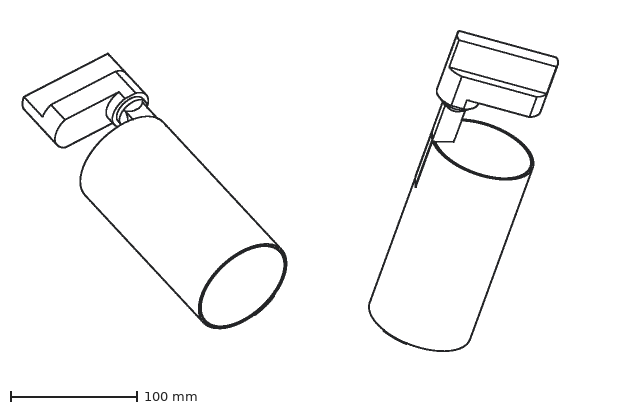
import cadquery as cq
import math

can_diameter = 85.0
can_radius = can_diameter / 2
wall_thickness = 1.5
liner_thickness = 0.8
can_front_x = 94.0
can_back_x = 259.0
dome_height = 7.8
liner_radius = can_radius - wall_thickness
core_radius = liner_radius - liner_thickness
can_length = can_back_x - can_front_x

overall_length = 259.7
overall_width = 93.5
tab_middle_angle = -60.0
tab_sweep = 30.0

blade_end_x = 26.0
plate_end_x = 45.5
boss_end_x = 54.0
boss_radius = 17.5
handle_half_height = 16.5
blade_height = 14.8
handle_length = 84.1
far_end_bulge = 9.5

near_end_y = overall_width - can_radius
bar_y = near_end_y - boss_radius
bar_side = 16.5
bar_end_x = 138.5
collar_radius = 13.2
collar_length = 8.5
collar_chamfer = 4.7


def x_cylinder(radius, start_x, end_x, center_y=0.0):
    plane = cq.Workplane("YZ", origin=(start_x, center_y, 0))
    return plane.circle(radius).extrude(end_x - start_x)


def make_handle():
    far_end_y = near_end_y - handle_length
    near_flat_y = bar_y + math.sqrt(boss_radius**2 - handle_half_height**2)
    far_flat_y = far_end_y + far_end_bulge
    plate = (
        cq.Workplane("YZ")
        .moveTo(far_flat_y, handle_half_height)
        .lineTo(near_flat_y, handle_half_height)
        .threePointArc((near_end_y, 0), (near_flat_y, -handle_half_height))
        .lineTo(far_flat_y, -handle_half_height)
        .threePointArc((far_end_y, 0), (far_flat_y, handle_half_height))
        .close()
        .extrude(plate_end_x)
    )
    cut_height = handle_half_height - blade_height / 2
    for side in (-1, 1):
        cut_z = side * (blade_height + cut_height) / 2
        step = cq.Workplane("XY").box(2 * blade_end_x, 3 * handle_length, cut_height)
        plate = plate.cut(step.translate((0, 0, cut_z)))
    boss = x_cylinder(boss_radius, blade_end_x, boss_end_x, bar_y)
    flats = cq.Workplane("XY").box(2 * overall_length, 2 * handle_length, 2 * handle_half_height)
    return plate.union(boss.intersect(flats))


def make_bar():
    plane = cq.Workplane("YZ", origin=(boss_end_x, bar_y, 0))
    return plane.rect(bar_side, bar_side).extrude(bar_end_x - boss_end_x)


def make_collar():
    collar = x_cylinder(collar_radius, boss_end_x, boss_end_x + collar_length, bar_y)
    return collar.faces(">X").chamfer(collar_chamfer).cut(make_bar())


def make_sleeve(outer_radius, thickness):
    plane = cq.Workplane("YZ", origin=(can_front_x, 0, 0))
    sleeve = plane.circle(outer_radius).circle(outer_radius - thickness).extrude(can_length)
    return sleeve.cut(make_bar())


def make_core():
    dome_radius = (core_radius**2 + dome_height**2) / (2 * dome_height)
    dome_tip_x = can_front_x - dome_height
    half_angle = math.asin(core_radius / dome_radius) / 2
    arc_middle = (
        dome_tip_x + dome_radius * (1 - math.cos(half_angle)),
        dome_radius * math.sin(half_angle),
    )
    core = (
        cq.Workplane("XY")
        .moveTo(dome_tip_x, 0)
        .threePointArc(arc_middle, (can_front_x, core_radius))
        .lineTo(can_back_x, core_radius)
        .lineTo(can_back_x, 0)
        .close()
        .revolve(360, (0, 0, 0), (1, 0, 0))
    )
    return core.cut(make_bar())


def make_rim_tab():
    def rim_point(radius, offset):
        angle = math.radians(tab_middle_angle + offset)
        return (radius * math.cos(angle), radius * math.sin(angle))

    half_sweep = tab_sweep / 2
    return (
        cq.Workplane("YZ", origin=(can_back_x, 0, 0))
        .moveTo(*rim_point(can_radius, -half_sweep))
        .threePointArc(rim_point(can_radius, 0), rim_point(can_radius, half_sweep))
        .lineTo(*rim_point(liner_radius, half_sweep))
        .threePointArc(rim_point(liner_radius, 0), rim_point(liner_radius, -half_sweep))
        .close()
        .extrude(overall_length - can_back_x)
    )


handle = make_handle()
collar = make_collar()
bar = make_bar()
shell = make_sleeve(can_radius, wall_thickness)
liner = make_sleeve(liner_radius, liner_thickness)
core = make_core()
rim_tab = make_rim_tab()

result = cq.Compound.makeCompound([
    handle.val(),
    collar.val(),
    bar.val(),
    shell.val(),
    liner.val(),
    core.val(),
    rim_tab.val(),
])